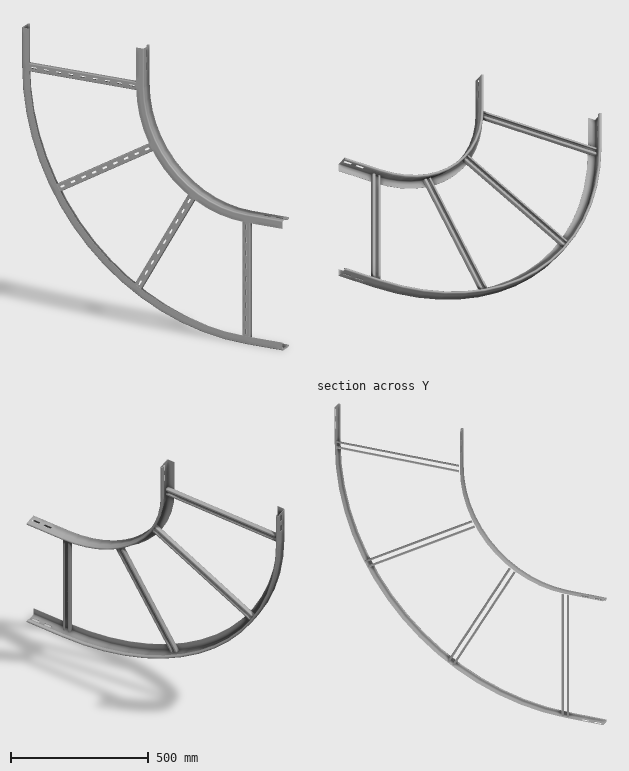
import cadquery as cq
import math


outer_size = 1070.0
straight_length = 150.0
ladder_width = 501.0
bend_angle = 90.0

outer_radius = outer_size - straight_length
inner_radius = outer_radius - ladder_width

sheet = 1.5
rail_depth = 50.0
flange_width = 31.0
bend_radius = 4.8
curl_radius = 4.8
curl_reach = 11.0

web_slot_length = 30.0
web_slot_width = 10.0
web_slot_from_end = 25.0
web_slot_pitch = 50.0
web_slot_count = 2

rung_count = 4
rung_width = 31.0
rung_depth = 17.0
rung_bend_radius = 3.0
rung_lip = 9.0
rung_inset = 4.9
rung_slot_length = 20.0
rung_slot_width = 7.0
rung_slot_pitch = 50.0
rung_slot_count = 9


def rail_section(web_radius, inward):
    """Closed section at the top end of a rail. `inward` is the X direction of its flange."""
    web_x = -web_radius
    curl_y = rail_depth - curl_radius
    tip_y = rail_depth - curl_reach
    inner_bend = bend_radius - sheet
    inner_curl = curl_radius - sheet
    slant = math.sqrt(0.5)

    def at(from_web, y):
        return (web_x + inward * from_web, y)

    def bend_middle(radius):
        offset = bend_radius - radius * slant
        return at(offset, offset)

    return (
        cq.Workplane("XY", origin=(0, 0, straight_length))
        .moveTo(*at(flange_width, 0))
        .lineTo(*at(bend_radius, 0))
        .threePointArc(bend_middle(bend_radius), at(0, bend_radius))
        .lineTo(*at(0, curl_y))
        .threePointArc(at(curl_radius, rail_depth), at(2 * curl_radius, curl_y))
        .lineTo(*at(2 * curl_radius, tip_y))
        .lineTo(*at(2 * curl_radius - sheet, tip_y))
        .lineTo(*at(2 * curl_radius - sheet, curl_y))
        .threePointArc(at(curl_radius, curl_y + inner_curl), at(sheet, curl_y))
        .lineTo(*at(sheet, bend_radius))
        .threePointArc(bend_middle(inner_bend), at(bend_radius, sheet))
        .lineTo(*at(flange_width, sheet))
        .close()
    )


def rail_path(web_radius):
    """Straight down, a quarter turn about the bend axis, then straight along +X."""
    middle = web_radius * math.sqrt(0.5)
    return (
        cq.Workplane("XZ")
        .moveTo(-web_radius, straight_length)
        .lineTo(-web_radius, 0)
        .threePointArc((-middle, -middle), (0, -web_radius))
        .lineTo(straight_length, -web_radius)
    )


def web_slots(web_radius):
    """Cutters for the slots at both ends of a rail."""
    cutters = []
    slot_y = rail_depth / 2
    through = 4 * sheet
    for i in range(web_slot_count):
        along = straight_length - web_slot_from_end - i * web_slot_pitch
        cutters.append(
            cq.Workplane("XY").box(through, web_slot_width, web_slot_length)
            .translate((-web_radius, slot_y, along))
        )
        cutters.append(
            cq.Workplane("XY").box(web_slot_length, web_slot_width, through)
            .translate((along, slot_y, -web_radius))
        )
    return cutters


def make_rail(web_radius, inward):
    """One rail. Cleaning is off so that straight and curved faces stay separate."""
    rail = rail_section(web_radius, inward).sweep(rail_path(web_radius), clean=False)
    for cutter in web_slots(web_radius):
        rail = rail.cut(cutter, clean=False)
    return rail


def rung_blank(start, end):
    """C section running from X = start to X = end, its face against the rail flanges."""
    middle_x = (start + end) / 2
    length = end - start
    outside = (
        cq.Workplane("XY").box(length, rung_depth, rung_width)
        .edges("|X").fillet(rung_bend_radius)
    )
    hollow = (
        cq.Workplane("XY").box(length, rung_depth - 2 * sheet, rung_width - 2 * sheet)
        .edges("|X").fillet(rung_bend_radius - sheet)
    )
    mouth = (
        cq.Workplane("XY").box(length, rung_depth, rung_width - 2 * rung_lip)
        .translate((0, rung_depth / 2, 0))
    )
    return outside.cut(hollow).cut(mouth).translate((middle_x, sheet + rung_depth / 2, 0))


def make_rung(angle):
    """Rung between the webs, turned `angle` degrees from the -X direction about the bend axis."""
    start = -(outer_radius - rung_inset)
    end = -(inner_radius + rung_inset)
    middle_x = -(outer_radius + inner_radius) / 2
    slots = (
        cq.Workplane("XZ", origin=(middle_x, 0, 0))
        .rarray(rung_slot_pitch, 11, rung_slot_count, 1)
        .rect(rung_slot_length, rung_slot_width)
        .extrude(-(rung_depth / 2))
    )
    rung = rung_blank(start, end).cut(slots)
    return rung.rotate((0, 0, 0), (0, 1, 0), -angle)


outer_rail = make_rail(outer_radius, 1)
inner_rail = make_rail(inner_radius, -1)

rung_step = bend_angle / (rung_count - 1)
rungs = [make_rung(i * rung_step) for i in range(rung_count)]

result = cq.Compound.makeCompound(
    [outer_rail.val(), inner_rail.val(), *[rung.val() for rung in rungs]]
)